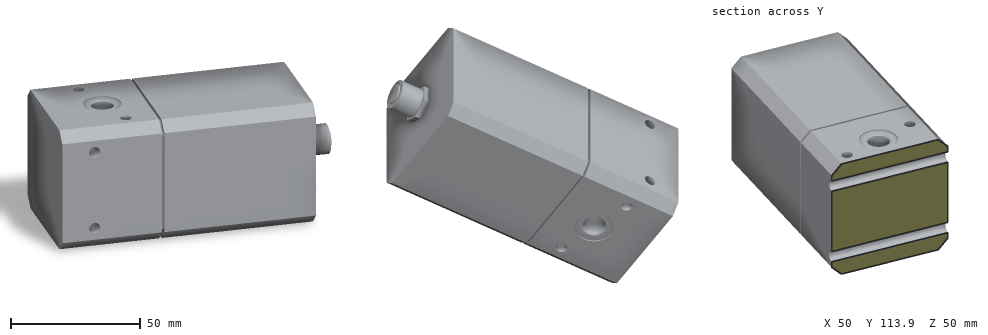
import cadquery as cq

width = 50.0
corner_chamfer = 4.2
front_length = 40.0
groove_width = 1.0
groove_depth = 1.0
rear_length = 60.9

nut_corner_diameter = 15.0
nut_length = 2.0
connector_diameter = 12.0
connector_length = 9.3
tip_diameter = 8.0
tip_length = 0.7

port_y = 23.0
port_diameter = 8.5
port_mouth_diameter = 9.6
port_mouth_chamfer = (port_mouth_diameter - port_diameter) / 2
spotface_diameter = 15.0
spotface_depth = 0.5
mount_diameter = 4.5
mount_offset = 16.0
mount_stagger = 5.0
side_hole_y = 13.0

groove_end = front_length + groove_width
housing_end = groove_end + rear_length
nut_end = housing_end + nut_length
connector_end = nut_end + connector_length
half_width = width / 2


def plane_at(y):
    """Plane across the part at y, facing the connector end."""
    return cq.Workplane(cq.Plane((0, y, 0), (1, 0, 0), (0, 1, 0)))


def block(y, length, inset=0):
    """Square housing section with its four long edges chamfered."""
    side = width - 2 * inset
    return plane_at(y).rect(side, side).extrude(length).edges("|Y").chamfer(corner_chamfer)


def rod(y, diameter, length):
    return plane_at(y).circle(diameter / 2).extrude(length)


housing = (
    block(0, front_length)
    .union(block(front_length, groove_width, groove_depth))
    .union(block(groove_end, rear_length))
)

nut = (
    plane_at(housing_end)
    .transformed(rotate=(0, 0, 90))
    .polygon(6, nut_corner_diameter)
    .extrude(nut_length)
)
connector = (
    nut.union(rod(nut_end, connector_diameter, connector_length))
    .union(rod(connector_end, tip_diameter, tip_length))
)


def port():
    """Through port along Z, with a spotface and chamfered mouth at both ends."""
    bore = cq.Workplane("XY", (0, port_y, -half_width)).circle(port_diameter / 2).extrude(width)
    spotface = (
        cq.Workplane("XY", (0, port_y, half_width))
        .circle(spotface_diameter / 2)
        .extrude(-spotface_depth)
    )
    mouth = (
        cq.Workplane("XY", (0, port_y, half_width - spotface_depth))
        .circle(port_mouth_diameter / 2)
        .workplane(offset=-port_mouth_chamfer)
        .circle(port_diameter / 2)
        .loft()
    )
    top_end = spotface.union(mouth)
    return bore.union(top_end).union(top_end.mirror("XY"))


mount_points = [
    (-mount_offset, port_y - mount_stagger),
    (mount_offset, port_y + mount_stagger),
]
vertical_holes = (
    cq.Workplane("XY", (0, 0, -half_width))
    .pushPoints(mount_points)
    .circle(mount_diameter / 2)
    .extrude(width)
)

side_holes = (
    cq.Workplane("YZ", (-half_width, 0, 0))
    .pushPoints([(side_hole_y, -mount_offset), (side_hole_y, mount_offset)])
    .circle(mount_diameter / 2)
    .extrude(width)
)

result = housing.union(connector).cut(port()).cut(vertical_holes).cut(side_holes)